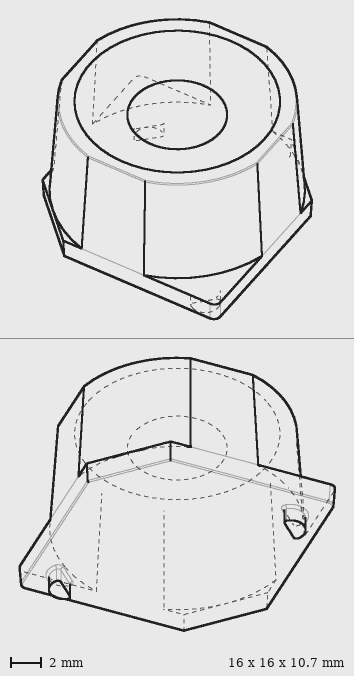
import cadquery as cq
import math

WIDTH = 16.0
PEG_HEIGHT = 1.2
PLATE_THICKNESS = 1.49
BODY_HEIGHT = 8.0

CORNER_CUT = 4.2
CORNER_RADIUS = 0.5
PLATE_DRAFT_ANGLE = 3.0
PLATE_EDGE_RADIUS = 0.1

BODY_RADIUS = (WIDTH - CORNER_CUT) / math.sqrt(2)
BODY_TOP_RADIUS = 7.84
FLAT_DRAFT_ANGLE = 3.4
BODY_EDGE_RADIUS = 0.08
DISH_RIM_RADIUS = 6.72
DISH_FLOOR_RADIUS = 3.26
DISH_DEPTH = 1.2

PEG_DISTANCE = 8.0
PEG_RADIUS = 1.0
PEG_FLAT_OFFSET = 0.1
PEG_CORNER_RADIUS = 0.2
PEG_ROOT_RADIUS = 0.2
PEG_DIRECTIONS = (135, -45)

HALF_WIDTH = WIDTH / 2
PLATE_TOP = PEG_HEIGHT + PLATE_THICKNESS
TOP = PLATE_TOP + BODY_HEIGHT


def make_plate():
    """Square plate with two opposite corner cuts, narrowing downwards."""
    cut_end = HALF_WIDTH - CORNER_CUT
    outline = [
        (-HALF_WIDTH, HALF_WIDTH),
        (cut_end, HALF_WIDTH),
        (HALF_WIDTH, cut_end),
        (HALF_WIDTH, -HALF_WIDTH),
        (-cut_end, -HALF_WIDTH),
        (-HALF_WIDTH, -cut_end),
    ]
    plate = (
        cq.Workplane("XY")
        .workplane(offset=PLATE_TOP)
        .polyline(outline)
        .close()
        .extrude(-PLATE_THICKNESS, taper=PLATE_DRAFT_ANGLE)
    )
    mid_height = PLATE_TOP - PLATE_THICKNESS / 2
    nearest_to = cq.selectors.NearestToPointSelector
    square_corners = nearest_to((-HALF_WIDTH, HALF_WIDTH, mid_height)) + nearest_to(
        (HALF_WIDTH, -HALF_WIDTH, mid_height)
    )
    plate = plate.edges(square_corners).fillet(CORNER_RADIUS)
    return plate.faces("<Z").edges().fillet(PLATE_EDGE_RADIUS)


def make_body():
    """Tapered round trimmed by four drafted flats, with a conical dish in its top."""
    base = cq.Workplane("XY").workplane(offset=PLATE_TOP)
    cone = base.newObject(
        [cq.Solid.makeCone(BODY_RADIUS, BODY_TOP_RADIUS, BODY_HEIGHT, cq.Vector(0, 0, PLATE_TOP))]
    )
    flats = base.rect(WIDTH, WIDTH).extrude(BODY_HEIGHT, taper=FLAT_DRAFT_ANGLE)
    cone = cone.faces(">Z").edges().fillet(BODY_EDGE_RADIUS)
    flats = flats.faces(">Z").edges().fillet(BODY_EDGE_RADIUS)
    body = cone.intersect(flats)
    dish = (
        cq.Workplane("XZ")
        .moveTo(0, TOP)
        .lineTo(DISH_RIM_RADIUS, TOP)
        .lineTo(DISH_FLOOR_RADIUS, TOP - DISH_DEPTH)
        .lineTo(0, TOP - DISH_DEPTH)
        .close()
        .revolve(360, (0, 0, 0), (0, 1, 0))
    )
    return body.cut(dish)


def make_peg():
    """Peg on the +X axis, round on the outside and flat towards the Z axis."""
    half_chord = math.sqrt(PEG_RADIUS**2 - PEG_FLAT_OFFSET**2)
    flat_x = PEG_DISTANCE - PEG_FLAT_OFFSET
    return (
        cq.Workplane("XY")
        .moveTo(flat_x, -half_chord)
        .threePointArc((PEG_DISTANCE + PEG_RADIUS, 0), (flat_x, half_chord))
        .close()
        .extrude(PEG_HEIGHT)
        .edges("|Z")
        .fillet(PEG_CORNER_RADIUS)
    )


def add_pegs(part):
    """Join the pegs to the plate and round the joint all the way around each root."""
    for direction in PEG_DIRECTIONS:
        part = part.union(make_peg().rotate((0, 0, 0), (0, 0, 1), direction))
    underside = part.faces(cq.selectors.NearestToPointSelector((0, 0, PEG_HEIGHT)))
    roots = [edge for wire in underside.val().innerWires() for edge in wire.Edges()]
    return part.newObject(roots).fillet(PEG_ROOT_RADIUS)


result = add_pegs(make_plate()).union(make_body())